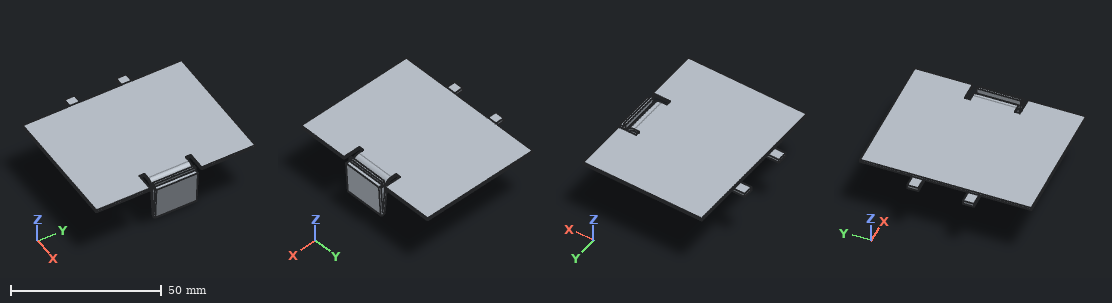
import cadquery as cq
import math

sheet = 1.0
plate_length = 47.9
plate_width = 61.6

tab_length = 9.05
tab_overhang = 4.45
tab_width = 4.0
tab_thickness = 1.4

latch_width = 16.0
latch_overhang = 0.9
slot_width = 1.9
slot_depth = 7.0
latch_depth = 14.0
latch_end_x = plate_length + latch_overhang
bend_radius = 2.0
bend_start_x = latch_end_x - 5.8
tip_x = latch_end_x - 1.8
tip_z = sheet - latch_depth
inner_apex_rise = 0.45
inner_apex_z = tip_z + inner_apex_rise

ridge_width = 0.9
ridge_left_x = latch_end_x - 2.5
ridge_top_z = 1.25


def lean_angle(run, drop, offset):
    """Angle from vertical of a line passing one point and offset from another."""
    return math.acos(offset / math.hypot(run, drop)) - math.atan2(drop, run)


def polar(center, radius, angle):
    return (center[0] + radius * math.cos(angle), center[1] + radius * math.sin(angle))


def make_plate():
    plate = cq.Workplane("XY").box(plate_length, plate_width, sheet, centered=(False, True, False))
    for side in (-1, 1):
        slot = (
            cq.Workplane("XY")
            .box(slot_depth, slot_width, sheet, centered=(False, True, False))
            .translate((plate_length - slot_depth, side * (latch_width + slot_width) / 2, 0))
        )
        plate = plate.cut(slot)
    tongue_end = (
        cq.Workplane("XY")
        .box(plate_length - bend_start_x, latch_width, sheet, centered=(False, True, False))
        .translate((bend_start_x, 0, 0))
    )
    return plate.cut(tongue_end)


def make_tab(side):
    return (
        cq.Workplane("XY")
        .box(tab_length, tab_width, tab_thickness, centered=(False, True, False))
        .translate((-tab_overhang, side * (latch_width + tab_width) / 2, -tab_thickness))
    )


def make_latch():
    bend = (bend_start_x, -bend_radius)
    tip = (tip_x, tip_z)
    outer_bend_radius = bend_radius + sheet

    left_lean = lean_angle(tip_x - bend[0], bend[1] - tip_z, outer_bend_radius)
    inner_left_lean = lean_angle(tip_x - bend[0], bend[1] - inner_apex_z, outer_bend_radius)
    right_lean = lean_angle(latch_end_x - tip_x, -tip_z, sheet)
    bend_middle = (math.pi / 2 + left_lean) / 2
    right_inner_x = tip_x + (-sheet - tip_z) * math.tan(right_lean)
    ridge_right_x = ridge_left_x + ridge_width

    return (
        cq.Workplane("XZ")
        .moveTo(bend_start_x, 0)
        .threePointArc(polar(bend, bend_radius, bend_middle), polar(bend, bend_radius, left_lean))
        .lineTo(*polar(tip, sheet, math.pi + left_lean))
        .threePointArc((tip_x, -latch_depth), polar(tip, sheet, -right_lean))
        .lineTo(latch_end_x, 0)
        .lineTo(ridge_right_x, 0)
        .lineTo(ridge_right_x, ridge_top_z)
        .lineTo(ridge_left_x, ridge_top_z)
        .lineTo(ridge_left_x, -sheet)
        .lineTo(right_inner_x, -sheet)
        .lineTo(tip_x, inner_apex_z)
        .lineTo(*polar(bend, outer_bend_radius, inner_left_lean))
        .threePointArc(polar(bend, outer_bend_radius, bend_middle), (bend_start_x, sheet))
        .close()
        .extrude(latch_width / 2, both=True)
    )


result = make_plate().union(make_latch())
for tab_side in (-1, 1):
    result = result.union(make_tab(tab_side))